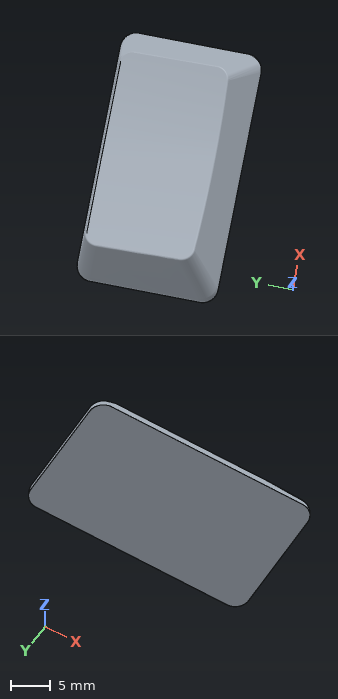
import cadquery as cq
import math

length = 32.45
width = 18.17
rim_height = 0.65
blend_height = 0.68
blend_steps = 3
rim_corner_radius = 2.0

top_tilt = 6.9
top_length = 25.38
top_front_y = -5.3
top_front_z = 7.8
top_back_y = 8.63
top_corner_radius = 1.72
side_slope = 0.58
front_slope = 0.56
back_slope = 0.084

dish_front_y = -5.58
dish_front_z = 6.98
dish_chord = 25.3
dish_depth = 0.75
dish_radius = (dish_chord**2 / 4 + dish_depth**2) / (2 * dish_depth)
dish_reach = 32.45
top_edge_radius = 0.25


def rounded_rectangle(size_x, size_y, radius):
    return cq.Sketch().rect(size_x, size_y).vertices().fillet(radius)


def blend_outline(height):
    """Outline of the blend at a height above the rim.

    "Run" is the sideways travel of a side per unit of its final slope. It follows
    a parabola, so the blend leaves the rim upright and reaches the full slope.
    """
    run = height**2 / (2 * blend_height)
    size_x = length - 2 * run * side_slope
    size_y = width - run * (front_slope + back_slope)
    center_y = run * (front_slope - back_slope) / 2
    outline = rounded_rectangle(size_x, size_y, rim_corner_radius)
    return outline.moved(cq.Location(cq.Vector(0, center_y, rim_height + height)))


def top_outline():
    """Outline that closes the taper, tilted down towards the back."""
    tilt = math.radians(top_tilt)
    depth = top_back_y - top_front_y
    center = cq.Vector(0, top_front_y + depth / 2, top_front_z - depth / 2 * math.tan(tilt))
    outline = rounded_rectangle(top_length, depth / math.cos(tilt), top_corner_radius)
    return outline.moved(cq.Location(center, cq.Vector(1, 0, 0), -top_tilt))


def make_body():
    """Upright rim, curved blend and straight taper, stacked."""
    blend_outlines = [blend_outline(blend_height * i / blend_steps) for i in range(blend_steps + 1)]
    rim_outline = rounded_rectangle(length, width, rim_corner_radius)
    rim = cq.Workplane("XY").placeSketch(rim_outline).extrude(rim_height)
    blend = cq.Workplane("XY").placeSketch(*blend_outlines).loft()
    taper = cq.Workplane("XY").placeSketch(blend_outlines[-1], top_outline()).loft(ruled=True)
    return rim.union(blend).union(taper)


def make_dish_cutter():
    """Cylinder whose lowest line forms the middle of the top face."""
    tilt = math.radians(top_tilt)
    axis = cq.Vector(0, math.cos(tilt), -math.sin(tilt))
    up = cq.Vector(0, math.sin(tilt), math.cos(tilt))
    front_point = cq.Vector(0, dish_front_y, dish_front_z)
    start = front_point + up * dish_radius - axis * (dish_reach / 2)
    return cq.Solid.makeCylinder(dish_radius, dish_reach, start, axis)


body = make_body().cut(cq.Workplane(make_dish_cutter()))
result = body.faces("%CYLINDER").faces(">Z").edges().fillet(top_edge_radius)